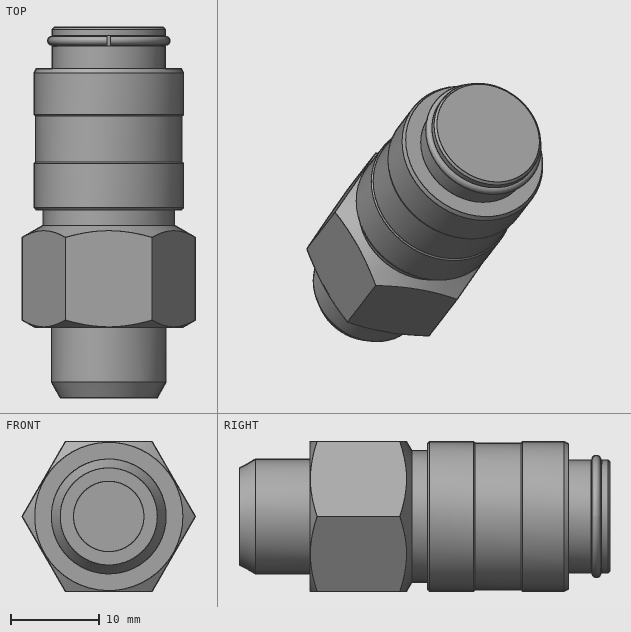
import cadquery as cq
import math

total_length = 42.0
tail_cone_length = 1.8
hex_front = 8.0
hex_rear = 19.55
front_collar_start = 21.3
front_collar_end = 26.7
rear_collar_start = 31.9
rear_collar_end = 37.3

tail_radius = 6.5
tail_tip_radius = 5.5
neck_radius = 7.48
collar_radius = 8.5
waist_step = 0.15
waist_radius = collar_radius - waist_step
spigot_radius = 6.43
bore_radius = 4.0
bore_depth = hex_front

hex_across_flats = 17.0
hex_corner_radius = hex_across_flats / math.sqrt(3)
hex_front_face_radius = 8.4
hex_chamfer_slope = math.tan(math.radians(30))

collar_chamfer = 0.25
collar_rear_chamfer_length = 0.5
spigot_chamfer = 0.25

wire_radius = 0.5
ring_radius = 6.43
ring_position = 40.45
ring_gap = 0.38
groove_width = 1.18
groove_radius = ring_radius - wire_radius


def revolve_profile(points):
    """Turn a closed (radius, Y) outline about the Y axis."""
    return cq.Workplane("XY").polyline(points).close().revolve(360, (0, 0, 0), (0, 1, 0))


def turned_body():
    groove_front = ring_position - groove_width / 2
    groove_rear = ring_position + groove_width / 2
    return revolve_profile([
        (0, 0),
        (tail_tip_radius, 0),
        (tail_radius, tail_cone_length),
        (tail_radius, hex_front),
        (neck_radius, hex_front),
        (neck_radius, front_collar_start),
        (collar_radius - collar_chamfer, front_collar_start),
        (collar_radius, front_collar_start + collar_chamfer),
        (collar_radius, front_collar_end - waist_step),
        (waist_radius, front_collar_end),
        (waist_radius, rear_collar_start),
        (collar_radius, rear_collar_start + waist_step),
        (collar_radius, rear_collar_end - collar_rear_chamfer_length),
        (collar_radius - collar_chamfer, rear_collar_end),
        (spigot_radius, rear_collar_end),
        (spigot_radius, groove_front),
        (groove_radius, groove_front),
        (groove_radius, groove_rear),
        (spigot_radius, groove_rear),
        (spigot_radius, total_length - spigot_chamfer),
        (spigot_radius - spigot_chamfer, total_length),
        (0, total_length),
    ])


def hexagon():
    """Hexagonal wrench section with its corners turned off conically at both ends."""
    front_chamfer = (hex_corner_radius - hex_front_face_radius) * hex_chamfer_slope
    rear_chamfer = (hex_corner_radius - neck_radius) * hex_chamfer_slope
    prism = (
        cq.Workplane("XZ", origin=(0, hex_rear, 0))
        .polygon(6, 2 * hex_corner_radius)
        .extrude(hex_rear - hex_front)
    )
    envelope = revolve_profile([
        (0, hex_front),
        (hex_front_face_radius, hex_front),
        (hex_corner_radius, hex_front + front_chamfer),
        (hex_corner_radius, hex_rear - rear_chamfer),
        (neck_radius, hex_rear),
        (0, hex_rear),
    ])
    return prism.intersect(envelope)


def bore():
    """Blind bore entering from the tail tip."""
    return cq.Workplane("XZ").circle(bore_radius).extrude(-bore_depth)


def make_coupling():
    return turned_body().union(hexagon()).cut(bore())


def make_snap_ring():
    """Round-wire ring with a narrow gap at the top."""
    ring = (
        cq.Workplane("XY")
        .center(ring_radius, ring_position)
        .circle(wire_radius)
        .revolve(360, (-ring_radius, 0, 0), (-ring_radius, 1, 0))
    )
    gap_height = 2 * ring_radius
    gap = cq.Workplane("XY", origin=(0, ring_position, gap_height / 2)).box(
        ring_gap, groove_width, gap_height
    )
    return ring.cut(gap)


coupling = make_coupling()
snap_ring = make_snap_ring()
result = cq.Compound.makeCompound([coupling.val(), snap_ring.val()])